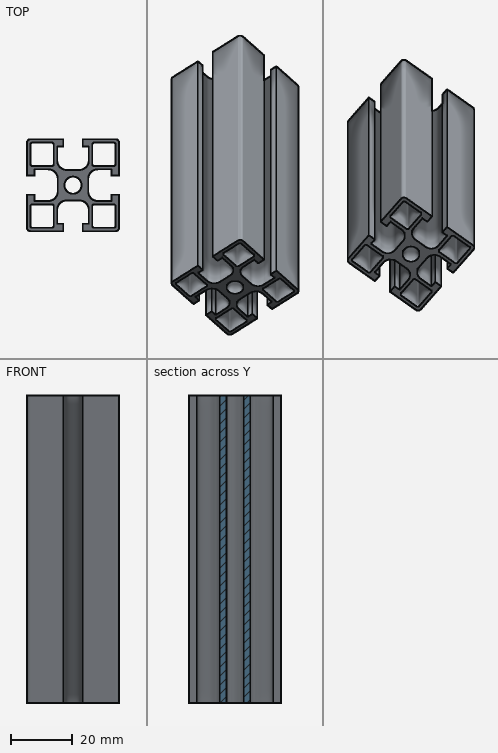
import cadquery as cq

side = 30.0
length = 100.0
outer_radius = 1.2

slot_opening = 6.2
slot_width = 10.2
lip_thickness = 2.5
core_width = 10.0
slot_floor_radius = 3.0

wall = 1.2
chamber_radius = 0.5

bore_diameter = 5.5

half_side = side / 2
slot_floor = core_width / 2
slot_ceiling = half_side - lip_thickness
chamber_inner = slot_width / 2 + wall
chamber_outer = half_side - wall
chamber_size = chamber_outer - chamber_inner
chamber_centre = (chamber_outer + chamber_inner) / 2


def prism(width, depth, centre_x=0, centre_y=0):
    """Full-length rectangular prism centred on the given XY point."""
    return cq.Workplane("XY").center(centre_x, centre_y).rect(width, depth).extrude(length)


def t_slot():
    """Void of the slot that opens toward +Y, with a rounded floor and a narrow mouth."""
    cavity_depth = slot_ceiling - slot_floor
    cavity = prism(slot_width, cavity_depth, 0, (slot_ceiling + slot_floor) / 2)
    cavity = cavity.edges("|Z and <Y").fillet(slot_floor_radius)
    mouth = prism(slot_opening, lip_thickness, 0, half_side - lip_thickness / 2)
    return cavity.union(mouth)


def corner_chamber():
    """Void of the hollow chamber in the +X, +Y corner."""
    chamber = prism(chamber_size, chamber_size, chamber_centre, chamber_centre)
    return chamber.edges("|Z").fillet(chamber_radius)


profile = prism(side, side).edges("|Z").fillet(outer_radius)

slot_void = t_slot()
chamber_void = corner_chamber()
for angle in (0, 90, 180, 270):
    profile = profile.cut(slot_void.rotate((0, 0, 0), (0, 0, 1), angle))
    profile = profile.cut(chamber_void.rotate((0, 0, 0), (0, 0, 1), angle))

bore = cq.Workplane("XY").circle(bore_diameter / 2).extrude(length)
result = profile.cut(bore)